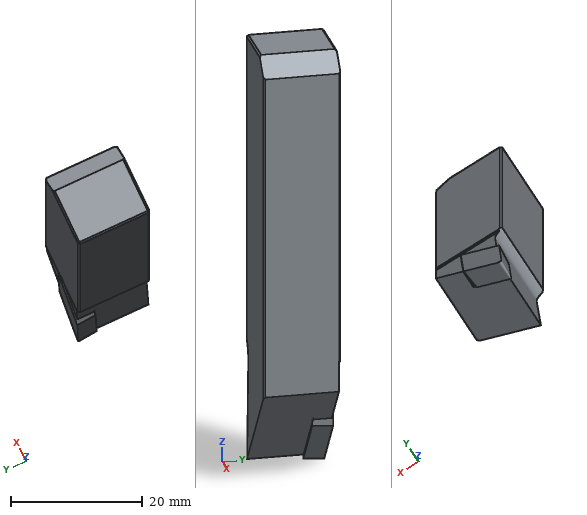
import cadquery as cq
import math

side = 12.0
length = 70.0
edge_chamfer = 0.3
back_chamfer = 2.95

tip_x, tip_z = 0.55, 1.0
slant_top_z = 15.25
relief_top_z = 20.8
relief_low_x, relief_low_z = 1.3, 17.2
seat_step_depth = 0.3
seat_step_top_z = 20.1

insert_thickness = 3.2
insert_side = 11.0
clearance_angle = 5.0
nose_radius = 0.4
flank_lean = 2.6
slant_lean = 38.8
pocket_clearance = 0.2


def direction(lean):
    """Unit vector in XZ, leaning from +Z toward +X by the angle in degrees."""
    angle = math.radians(lean)
    return math.sin(angle), math.cos(angle)


def xz_plane(y):
    """XZ sketch plane at height y whose extrusions run toward -Y."""
    return cq.Workplane("XZ", origin=(0, y, 0))


def make_insert_outline():
    """Rhombus whose round nose touches X = 0 and Z = 0."""
    half_nose_angle = math.radians(slant_lean - flank_lean) / 2
    middle_x, middle_z = direction((flank_lean + slant_lean) / 2)
    nose_center = nose_radius
    corner_setback = nose_radius / math.sin(half_nose_angle)
    corner_x = nose_center - corner_setback * middle_x
    corner_z = nose_center - corner_setback * middle_z
    tangent_distance = nose_radius / math.tan(half_nose_angle)
    flank_x, flank_z = direction(flank_lean)
    slant_x, slant_z = direction(slant_lean)

    def point(along_flank, along_slant):
        return (
            corner_x + along_flank * flank_x + along_slant * slant_x,
            corner_z + along_flank * flank_z + along_slant * slant_z,
        )

    nose_tip = (nose_center - nose_radius * middle_x, nose_center - nose_radius * middle_z)
    return (
        xz_plane(side)
        .moveTo(*point(0, tangent_distance))
        .lineTo(*point(0, insert_side))
        .lineTo(*point(insert_side, insert_side))
        .lineTo(*point(insert_side, 0))
        .lineTo(*point(tangent_distance, 0))
        .threePointArc(nose_tip, point(0, tangent_distance))
        .close()
    )


def make_insert():
    return make_insert_outline().extrude(insert_thickness, taper=clearance_angle)


def make_pocket():
    """Straight-walled pocket that leaves a gap around the insert."""
    return make_insert_outline().offset2D(pocket_clearance).extrude(insert_thickness)


def make_bar():
    bar = cq.Workplane("XY").box(side, side, length, centered=False)
    bar = bar.edges("|Z").chamfer(edge_chamfer)
    return bar.faces(">Z").edges("not >X").chamfer(edge_chamfer)


def make_side_profile():
    """Outline of the shank with a concave relief leading into the tip."""
    outline = (
        xz_plane(side)
        .moveTo(tip_x, tip_z)
        .lineTo(relief_low_x, relief_low_z)
        .tangentArcPoint((0, relief_top_z), relative=False)
        .lineTo(0, length)
        .lineTo(side - back_chamfer, length)
        .lineTo(side, length - back_chamfer)
        .lineTo(side, slant_top_z)
        .close()
    )
    return outline.extrude(side)


def make_seat_step():
    """Shallow step that lowers the +Y face around the insert."""
    step = cq.Workplane("XY").box(side, seat_step_depth, seat_step_top_z, centered=False)
    return step.translate((0, side - seat_step_depth, 0))


insert = make_insert()
shank = make_bar().intersect(make_side_profile()).cut(make_seat_step()).cut(make_pocket())

result = cq.Compound.makeCompound([shank.solids().val(), insert.val()])